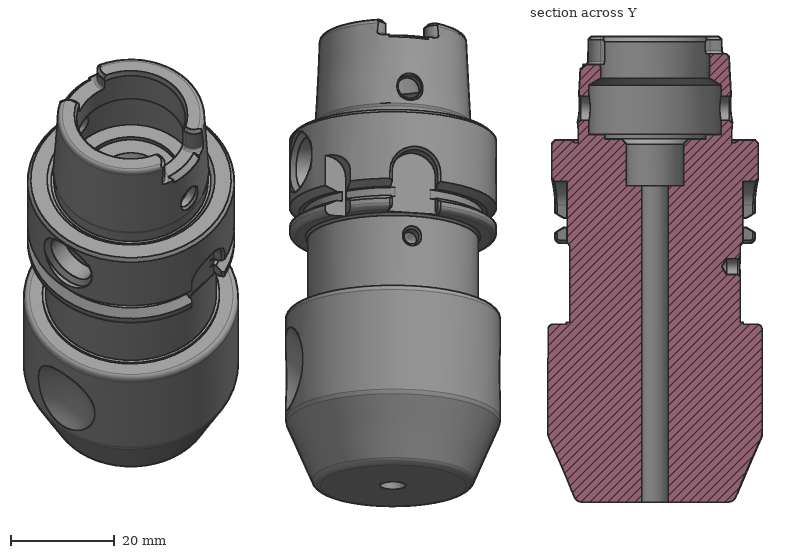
import cadquery as cq
import math

TOTAL_HEIGHT = 90.0
HEAD_DIAMETER = 41.5
FLANGE_DIAMETER = 40.0
BODY_DIAMETER = 33.0
NECK_DIAMETER = 29.8
FLANGE_TOP = 70.0
FLANGE_WIDTH = 20.0
FLANGE_BOTTOM = FLANGE_TOP - FLANGE_WIDTH

head_radius = HEAD_DIAMETER / 2
flange_radius = FLANGE_DIAMETER / 2
body_radius = BODY_DIAMETER / 2
neck_radius = NECK_DIAMETER / 2

HEAD_TOP = 34.5
HEAD_TOP_ROUND = 1.1
HEAD_CONE_TOP = 12.9
HEAD_BOTTOM_RADIUS = 15.2
HEAD_SHOULDER_ROUND = 2.25
HEAD_BOTTOM_ROUND = 1.7
HEAD_STEP_RADIUS = 17.1
HEAD_STEP_HEIGHT = 0.4

GROOVE_RADIUS = 17.4
GROOVE_TOP = 54.9
GROOVE_WIDTH = 1.8
GROOVE_LIP_RADIUS = 18.2
GROOVE_FLARE_HEIGHT = 1.1
RING_ROUND = 1.1
FLANGE_CHAMFER = 0.6
COLLAR_RADIUS = 16.9
COLLAR_HEIGHT = 0.5

TAPER_BOTTOM = 72.6
TAPER_BOTTOM_RADIUS = 15.0
TAPER_PER_HEIGHT = 0.05
TAPER_EDGE_HEIGHT = 0.5
SHANK_TOP_ROUND = 0.9
FACE_RELIEF_RADIUS = 16.2
FACE_RELIEF_DEPTH = 0.5

MOUTH_DIAMETER = 21.0
MOUTH_DEPTH = 8.1
MOUTH_CHAMFER = 0.45
MOUTH_CHAMFER_HEIGHT = 1.0
CHAMBER_DIAMETER = 25.5
CHAMBER_FLOOR = 71.1
CHAMBER_FLARE = 1.35
SEAT_DIAMETER = 19.4
SEAT_DEPTH = 0.9
TUBE_DIAMETER = 11.0
TUBE_MOUTH_DIAMETER = 13.0
TUBE_DEPTH = 9.0
COOLANT_DIAMETER = 5.0

SHANK_SLOT_WIDTH = 7.7
SHANK_SLOT_MOUTH_X = 13.0
SLOT_CORNER_ROUND = 2.4
SLOT_FLOOR_ROUND = 0.6
SLOT_LIP = 0.6
SHALLOW_SLOT_DEPTH = 3.3
SHALLOW_BEVEL = (0.5, 0.5)
DEEP_SLOT_DEPTH = 5.4
DEEP_BEVEL = (1.3, 0.8)

KEYWAY_WIDTH = 9.0
KEYWAY_CHAMFER = 0.5
KEYWAY_ARCH_CENTRE = 57.5
KEYWAY_FLOOR = 17.0
NOTCH_WIDTH = 8.0
NOTCH_Y = 16.1
NOTCH_FLOOR = 11.8
NOTCH_ARCH_CENTRE = 58.0

ACCESS_HOLE_Z = 76.1
ACCESS_HOLE_DIAMETER = 4.6
ACCESS_HOLE_MOUTH = 5.6
ACCESS_HOLE_DEPTH = 5.4
CHIP_HOLE_Z = 63.1
CHIP_HOLE_DIAMETER = 10.1
CHIP_HOLE_MOUTH = 12.0
CHIP_HOLE_DEPTH = 4.5
CHIP_CENTRE_DIAMETER = 3.6
FRONT_HOLE_ANGLE = -90.0
REAR_HOLE_ANGLE = 98.0
VENT_HOLE_Z = 45.5
VENT_HOLE_DIAMETER = 3.0
VENT_HOLE_MOUTH = 4.0
VENT_HOLE_DEPTH = 2.7
DRILL_TIP_ANGLE = 118.0
DIMPLE_Z = 22.1
DIMPLE_BALL_RADIUS = 10.0
DIMPLE_CENTRE_Y = 26.55

REACH = 27.0


def taper_radius(z):
    return TAPER_BOTTOM_RADIUS - TAPER_PER_HEIGHT * (z - TAPER_BOTTOM)


def revolve_about_z(points):
    """Turned shape whose seam lies at 45 degrees, clear of the features on the X and Y axes."""
    turned = cq.Workplane("XZ").polyline(points).close().revolve(360, (0, 0, 0), (0, 1, 0))
    return turned.rotate((0, 0, 0), (0, 0, 1), 45)


def head():
    block = revolve_about_z([
        (0, 0),
        (HEAD_BOTTOM_RADIUS, 0),
        (head_radius, HEAD_CONE_TOP),
        (head_radius, HEAD_TOP),
        (0, HEAD_TOP),
    ])
    shoulder = cq.selectors.BoxSelector(
        (-REACH, -REACH, HEAD_CONE_TOP - 0.9), (REACH, REACH, HEAD_CONE_TOP + 0.9), boundingbox=True)
    block = block.edges(shoulder).fillet(HEAD_SHOULDER_ROUND)
    block = block.faces("<Z").edges().fillet(HEAD_BOTTOM_ROUND)
    block = block.faces(">Z").edges().fillet(HEAD_TOP_ROUND)
    step = cq.Workplane("XY").workplane(offset=HEAD_TOP).circle(HEAD_STEP_RADIUS).extrude(HEAD_STEP_HEIGHT)
    return block.union(step)


def body_and_flange():
    groove_bottom = GROOVE_TOP - GROOVE_WIDTH
    solid = revolve_about_z([
        (0, HEAD_TOP),
        (body_radius, HEAD_TOP),
        (body_radius, FLANGE_BOTTOM - COLLAR_HEIGHT),
        (COLLAR_RADIUS, FLANGE_BOTTOM),
        (flange_radius, FLANGE_BOTTOM),
        (flange_radius, groove_bottom - GROOVE_FLARE_HEIGHT),
        (GROOVE_LIP_RADIUS, groove_bottom),
        (GROOVE_RADIUS, groove_bottom),
        (GROOVE_RADIUS, GROOVE_TOP),
        (GROOVE_LIP_RADIUS, GROOVE_TOP),
        (flange_radius, GROOVE_TOP + GROOVE_FLARE_HEIGHT),
        (flange_radius, FLANGE_TOP - FLANGE_CHAMFER),
        (flange_radius - FLANGE_CHAMFER, FLANGE_TOP),
        (FACE_RELIEF_RADIUS, FLANGE_TOP),
        (neck_radius + FACE_RELIEF_DEPTH, FLANGE_TOP - FACE_RELIEF_DEPTH),
        (0, FLANGE_TOP - FACE_RELIEF_DEPTH),
    ])
    ring_edge = cq.selectors.BoxSelector(
        (-REACH, -REACH, FLANGE_BOTTOM - 0.1), (REACH, REACH, FLANGE_BOTTOM + 0.1), boundingbox=True)
    return solid.edges(ring_edge).edges(cq.selectors.RadiusNthSelector(-1)).fillet(RING_ROUND)


def shank_slot_outline(z):
    """Plan of a slot along +X whose walls curve outward near the shank surface."""
    half = SHANK_SLOT_WIDTH / 2
    mouth_half = half + SLOT_CORNER_ROUND
    corner_start = SHANK_SLOT_MOUTH_X - SLOT_CORNER_ROUND
    corner_mid_x = corner_start + SLOT_CORNER_ROUND * math.sin(math.radians(45))
    corner_mid_y = mouth_half - SLOT_CORNER_ROUND * math.cos(math.radians(45))
    return (
        cq.Workplane("XY", origin=(0, 0, z))
        .moveTo(0, -half)
        .lineTo(corner_start, -half)
        .threePointArc((corner_mid_x, -corner_mid_y), (SHANK_SLOT_MOUTH_X, -mouth_half))
        .lineTo(REACH, -mouth_half)
        .lineTo(REACH, mouth_half)
        .lineTo(SHANK_SLOT_MOUTH_X, mouth_half)
        .threePointArc((corner_mid_x, corner_mid_y), (corner_start, half))
        .lineTo(0, half)
        .close()
    )


def shank_slot(depth, bevel):
    """Slot through the +X wall of the shank, with corners rounded outward and a bevelled floor edge."""
    floor = TOTAL_HEIGHT - depth
    slot = shank_slot_outline(floor).extrude(depth)
    slot = slot.faces("<Z").edges("not(<X or >X)").fillet(SLOT_FLOOR_ROUND)
    lip = shank_slot_outline(TOTAL_HEIGHT - SLOT_LIP).extrude(SLOT_LIP, taper=-45)
    bevel_width, bevel_height = bevel
    edge = taper_radius(floor)
    bevel_ring = revolve_about_z([
        (edge - bevel_width, floor),
        (edge, floor - bevel_height),
        (edge + bevel_width, floor - bevel_height),
        (edge + bevel_width, floor),
    ])
    slot_sector = cq.Workplane("XY").box(REACH, SHANK_SLOT_WIDTH, 2 * TOTAL_HEIGHT, centered=(False, True, False))
    return slot.union(lip).union(bevel_ring.intersect(slot_sector))


def shank():
    taper_edge = TAPER_BOTTOM - TAPER_EDGE_HEIGHT
    solid = revolve_about_z([
        (0, FLANGE_TOP - FACE_RELIEF_DEPTH),
        (neck_radius, FLANGE_TOP - FACE_RELIEF_DEPTH),
        (neck_radius, taper_edge),
        (TAPER_BOTTOM_RADIUS, TAPER_BOTTOM),
        (taper_radius(TOTAL_HEIGHT), TOTAL_HEIGHT),
        (0, TOTAL_HEIGHT),
    ])
    solid = solid.faces(">Z").edges().fillet(SHANK_TOP_ROUND)
    solid = solid.cut(shank_slot(SHALLOW_SLOT_DEPTH, SHALLOW_BEVEL).mirror("YZ"))
    solid = solid.cut(shank_slot(DEEP_SLOT_DEPTH, DEEP_BEVEL))
    return solid


def bore():
    mouth = MOUTH_DIAMETER / 2
    chamber = CHAMBER_DIAMETER / 2
    mouth_bottom = TOTAL_HEIGHT - MOUTH_DEPTH
    seat_floor = CHAMBER_FLOOR - SEAT_DEPTH
    tube = TUBE_DIAMETER / 2
    tube_mouth = TUBE_MOUTH_DIAMETER / 2
    coolant = COOLANT_DIAMETER / 2
    return revolve_about_z([
        (0, 0),
        (coolant, 0),
        (coolant, seat_floor - TUBE_DEPTH),
        (tube, seat_floor - TUBE_DEPTH),
        (tube, seat_floor - (tube_mouth - tube)),
        (tube_mouth, seat_floor),
        (SEAT_DIAMETER / 2, seat_floor),
        (SEAT_DIAMETER / 2, CHAMBER_FLOOR),
        (chamber, CHAMBER_FLOOR),
        (chamber, mouth_bottom - CHAMBER_FLARE),
        (mouth, mouth_bottom),
        (mouth, TOTAL_HEIGHT - MOUTH_CHAMFER_HEIGHT),
        (mouth + MOUTH_CHAMFER, TOTAL_HEIGHT),
        (0, TOTAL_HEIGHT),
    ])


def arch_slot(width, y, arch_z, floor):
    """Slot facing -X with a round top, open downward below the flange."""
    bottom = FLANGE_BOTTOM - COLLAR_HEIGHT
    half = width / 2
    return (
        cq.Workplane("YZ")
        .moveTo(y - half, bottom)
        .lineTo(y - half, arch_z)
        .threePointArc((y, arch_z + half), (y + half, arch_z))
        .lineTo(y + half, bottom)
        .close()
        .extrude(-REACH)
        .translate((-floor, 0, 0))
    )


def keyway():
    return arch_slot(KEYWAY_WIDTH, 0, KEYWAY_ARCH_CENTRE, KEYWAY_FLOOR)


def notch():
    return arch_slot(NOTCH_WIDTH, NOTCH_Y, NOTCH_ARCH_CENTRE, NOTCH_FLOOR)


def point_outward(cutter, angle, z):
    """Lay a cutter built along +Z on its side at height z, facing the given angle from +X."""
    return cutter.rotate((0, 0, 0), (0, 1, 0), 90).rotate((0, 0, 0), (0, 0, 1), angle).translate((0, 0, z))


def cone_tip(start, diameter):
    """Drill-point cone whose wide end lies at the given distance from the part axis."""
    radius = diameter / 2
    height = radius / math.tan(math.radians(DRILL_TIP_ANGLE / 2))
    return revolve_about_z([(0, start - height), (radius, start), (0, start)])


def chamfered_hole(surface, diameter, mouth, depth):
    """Hole running inward from a distance to the part axis, with a 45 degree chamfered mouth."""
    radius = diameter / 2
    mouth_radius = mouth / 2
    return revolve_about_z([
        (0, surface - depth),
        (radius, surface - depth),
        (radius, surface - (mouth_radius - radius)),
        (mouth_radius, surface),
        (mouth_radius, REACH),
        (0, REACH),
    ])


def access_hole(angle):
    surface = taper_radius(ACCESS_HOLE_Z)
    hole = chamfered_hole(surface, ACCESS_HOLE_DIAMETER, ACCESS_HOLE_MOUTH, ACCESS_HOLE_DEPTH)
    return point_outward(hole, angle, ACCESS_HOLE_Z)


def chip_hole(angle):
    rim = math.sqrt(flange_radius**2 - (CHIP_HOLE_MOUTH / 2) ** 2)
    hole = chamfered_hole(rim, CHIP_HOLE_DIAMETER, CHIP_HOLE_MOUTH, CHIP_HOLE_DEPTH)
    hole = hole.union(cone_tip(rim - CHIP_HOLE_DEPTH, CHIP_CENTRE_DIAMETER))
    return point_outward(hole, angle, CHIP_HOLE_Z)


def vent_hole():
    hole = chamfered_hole(body_radius, VENT_HOLE_DIAMETER, VENT_HOLE_MOUTH, VENT_HOLE_DEPTH)
    hole = hole.union(cone_tip(body_radius - VENT_HOLE_DEPTH, VENT_HOLE_DIAMETER))
    return point_outward(hole, 180, VENT_HOLE_Z)


def dimple(side):
    ball = cq.Workplane("XY").sphere(DIMPLE_BALL_RADIUS)
    return ball.translate((0, side * DIMPLE_CENTRE_Y, DIMPLE_Z))


def flange_with_keyways():
    """Flange whose two opposite keyways have chamfered mouths on its cylindrical surface."""
    solid = body_and_flange()
    half = KEYWAY_WIDTH / 2
    rim_x = math.sqrt(flange_radius**2 - half**2)
    for slot in (keyway(), keyway().mirror("YZ")):
        solid = solid.cut(slot)
    for side in (-1, 1):
        near = side * (rim_x - 0.1)
        mouth = cq.selectors.BoxSelector(
            (near, -half - 0.1, FLANGE_BOTTOM), (side * REACH, half + 0.1, FLANGE_TOP - 0.9), boundingbox=True)
        solid = solid.edges(mouth).chamfer(KEYWAY_CHAMFER)
    return solid


result = head().union(flange_with_keyways()).union(shank()).cut(bore())

for hole_angle in (0, 180):
    result = result.cut(access_hole(hole_angle))

result = result.cut(notch())

for hole_angle in (FRONT_HOLE_ANGLE, REAR_HOLE_ANGLE):
    result = result.cut(chip_hole(hole_angle))

result = result.cut(vent_hole())

for dimple_side in (-1, 1):
    result = result.cut(dimple(dimple_side))